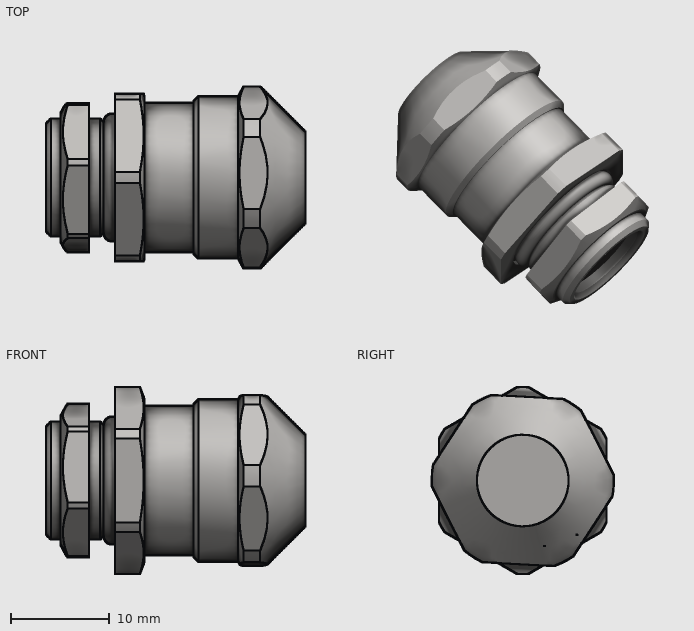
import cadquery as cq
import math


HEX_HALF_ANGLE = 30

THREAD_END = 6.0
FLANGE_START = 7.0
FLANGE_END = 10.0
BODY_END = 14.95
COLLAR_END = 19.5
TOTAL_LENGTH = 26.33

THREAD_RADIUS = 12 / 2
THREAD_CHAMFER = 0.5
ENTRY_BORE_RADIUS = 8.8 / 2
ENTRY_BORE_DEPTH = 1.45
ENTRY_BORE_CHAMFER = 0.5

SEAL_RADIUS = 13 / 2
SEAL_WIRE_RADIUS = 0.85
SEAL_CENTER = 6.7
RECESS_RADIUS = 6.75
RECESS_END = SEAL_CENTER + SEAL_WIRE_RADIUS
NECK_RADIUS = THREAD_RADIUS - THREAD_CHAMFER

BODY_RADIUS = 15.2 / 2
COLLAR_RADIUS = 16.5 / 2
COLLAR_CHAMFER = 0.5

NUT_START = 1.45
NUT_END = 4.38
NUT_FLATS = 14
NUT_CORNER_RADIUS = 15.8 / 2
NUT_FACE_RADIUS = 6.5
NUT_CHAMFER_LENGTH = 0.75
NUT_TURN = -11.3

FLANGE_FLATS = 17
FLANGE_CORNER_RADIUS = 19 / 2
FLANGE_FACE_RADIUS = 8.25
FLANGE_CHAMFER_LENGTH = 0.47
FLANGE_TURN = 0

DOME_FLATS = 17
DOME_CORNER_RADIUS = 18.5 / 2
DOME_CHAMFER_LENGTH = 0.55
DOME_TIP_RADIUS = 9.3 / 2
DOME_CONE_LENGTH = DOME_CORNER_RADIUS - DOME_TIP_RADIUS
DOME_TURN = 26.9


def revolve_profile(points):
    """Turn (x, radius) points, closed along the axis, around the X axis."""
    closed = [(points[0][0], 0)] + points + [(points[-1][0], 0)]
    return cq.Workplane("XY").polyline(closed).close().revolve(360, (0, 0, 0), (1, 0, 0))


def hexagon_prism(start, end, across_flats, turn):
    """Hexagon along X; with no turn, two of its flats face +Y and -Y."""
    corner_diameter = across_flats / math.cos(math.radians(HEX_HALF_ANGLE))
    prism = cq.Workplane("YZ").polygon(6, corner_diameter).extrude(end - start)
    return prism.rotate((0, 0, 0), (1, 0, 0), HEX_HALF_ANGLE + turn).translate((start, 0, 0))


def make_threaded_entry():
    entry = revolve_profile([
        (0, THREAD_RADIUS - THREAD_CHAMFER),
        (THREAD_CHAMFER, THREAD_RADIUS),
        (THREAD_END - THREAD_CHAMFER, THREAD_RADIUS),
        (THREAD_END, NECK_RADIUS),
        (RECESS_END, NECK_RADIUS),
    ])
    bore = revolve_profile([
        (0, ENTRY_BORE_RADIUS + ENTRY_BORE_CHAMFER),
        (ENTRY_BORE_CHAMFER, ENTRY_BORE_RADIUS),
        (ENTRY_BORE_DEPTH, ENTRY_BORE_RADIUS),
    ])
    return entry.cut(bore)


def make_seal():
    wire_center = SEAL_RADIUS - SEAL_WIRE_RADIUS
    section = cq.Workplane("XY").center(SEAL_CENTER, wire_center).circle(SEAL_WIRE_RADIUS)
    return section.revolve(360, (0, -wire_center, 0), (1, -wire_center, 0))


def make_locknut():
    envelope = revolve_profile([
        (NUT_START, NUT_FACE_RADIUS),
        (NUT_START + NUT_CHAMFER_LENGTH, NUT_CORNER_RADIUS),
        (NUT_END, NUT_CORNER_RADIUS),
    ])
    nut = hexagon_prism(NUT_START, NUT_END, NUT_FLATS, NUT_TURN).intersect(envelope)
    thread_hole = revolve_profile([(NUT_START, NECK_RADIUS), (NUT_END, NECK_RADIUS)])
    return nut.cut(thread_hole)


def make_flange():
    envelope = revolve_profile([
        (FLANGE_START, FLANGE_CORNER_RADIUS),
        (FLANGE_END - FLANGE_CHAMFER_LENGTH, FLANGE_CORNER_RADIUS),
        (FLANGE_END, FLANGE_FACE_RADIUS),
    ])
    recess = revolve_profile([(FLANGE_START, RECESS_RADIUS), (RECESS_END, RECESS_RADIUS)])
    prism = hexagon_prism(FLANGE_START, FLANGE_END, FLANGE_FLATS, FLANGE_TURN)
    return prism.intersect(envelope).cut(recess)


def make_body():
    return revolve_profile([
        (FLANGE_END, BODY_RADIUS),
        (BODY_END, BODY_RADIUS),
        (BODY_END, COLLAR_RADIUS - COLLAR_CHAMFER),
        (BODY_END + COLLAR_CHAMFER, COLLAR_RADIUS),
        (COLLAR_END, COLLAR_RADIUS),
    ])


def make_dome_nut():
    envelope = revolve_profile([
        (COLLAR_END, COLLAR_RADIUS),
        (COLLAR_END + DOME_CHAMFER_LENGTH, DOME_CORNER_RADIUS),
        (TOTAL_LENGTH - DOME_CONE_LENGTH, DOME_CORNER_RADIUS),
        (TOTAL_LENGTH, DOME_TIP_RADIUS),
    ])
    return hexagon_prism(COLLAR_END, TOTAL_LENGTH, DOME_FLATS, DOME_TURN).intersect(envelope)


result = make_threaded_entry()
for piece in (make_locknut(), make_seal(), make_flange(), make_body(), make_dome_nut()):
    result = result.union(piece)